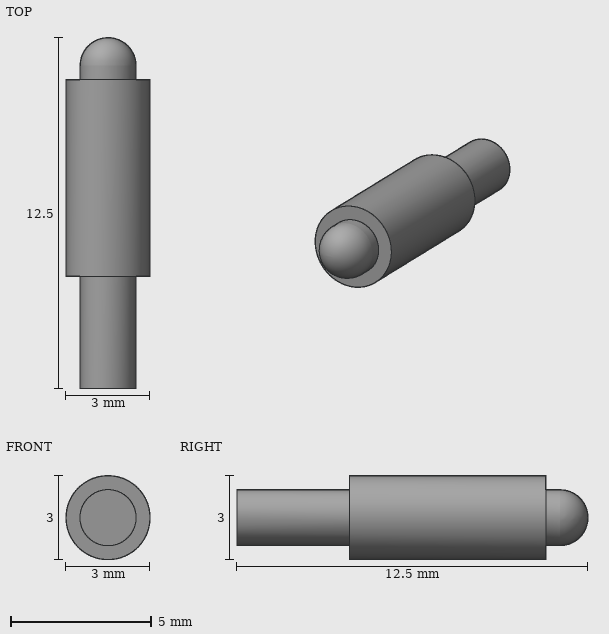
import cadquery as cq

body_diameter = 3.0
body_length = 7.0
pin_diameter = 2.0
tail_length = 4.0
plunger_straight_length = 0.5

pin_radius = pin_diameter / 2


def cylinder_along_y(diameter, start_y, length):
    """Solid cylinder on the Y axis, running toward +Y from start_y."""
    return cq.Workplane(cq.Solid.makeCylinder(
        diameter / 2, length, cq.Vector(0, start_y, 0), cq.Vector(0, 1, 0)
    ))


def domed_plunger(start_y):
    """Short straight shank closed by a hemisphere of the same radius."""
    shoulder_y = start_y + plunger_straight_length
    dome_middle = pin_radius * 0.5 ** 0.5
    return (
        cq.Workplane("XY")
        .moveTo(0, start_y)
        .lineTo(pin_radius, start_y)
        .lineTo(pin_radius, shoulder_y)
        .threePointArc((dome_middle, shoulder_y + dome_middle), (0, shoulder_y + pin_radius))
        .close()
        .revolve(360, (0, 0, 0), (0, 1, 0))
    )


tail = cylinder_along_y(pin_diameter, -tail_length, tail_length)
body = cylinder_along_y(body_diameter, 0, body_length)
plunger = domed_plunger(body_length)

result = body.union(tail).union(plunger)